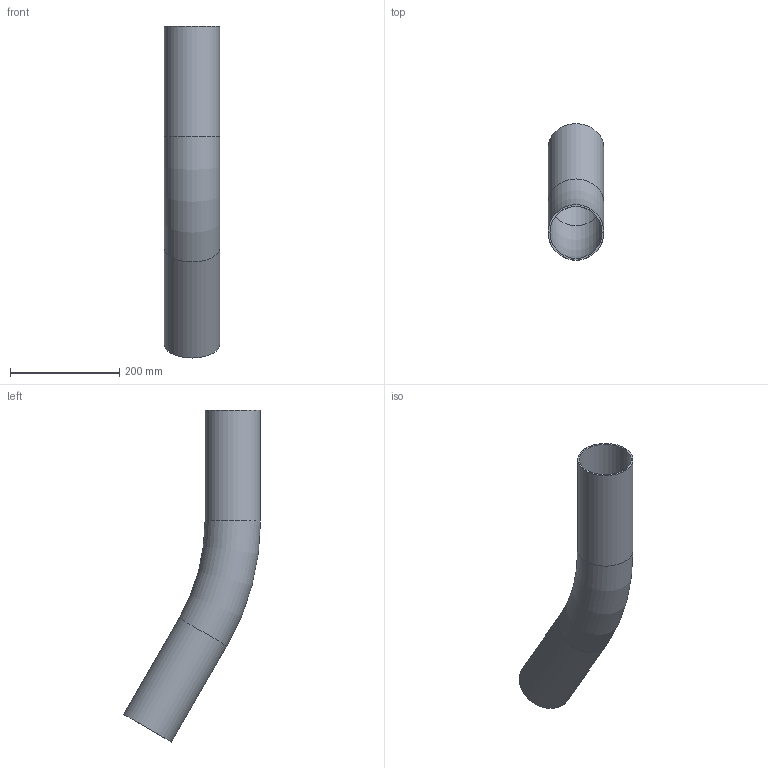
import cadquery as cq
import math

outer_diameter = 101.6
inner_diameter = 95.5

leg_length = 2 * outer_diameter
bend_radius = 4 * outer_diameter
bend_angle = 30.0


def centreline():
    """Path in the YZ plane, running down from the top end of the vertical leg."""
    angle = math.radians(bend_angle)

    def bend_point(turn):
        """Point (Y, Z) on the bend after turning by the given angle."""
        return bend_radius * (1 - math.cos(turn)), -bend_radius * math.sin(turn)

    bend_end_y, bend_end_z = bend_point(angle)
    lower_end = (
        bend_end_y + leg_length * math.sin(angle),
        bend_end_z - leg_length * math.cos(angle),
    )
    return (
        cq.Workplane("YZ")
        .moveTo(0, leg_length)
        .lineTo(0, 0)
        .threePointArc(bend_point(angle / 2), (bend_end_y, bend_end_z))
        .lineTo(*lower_end)
    )


def bent_tube():
    """Ring section swept along the centreline."""
    section = (
        cq.Workplane("XY", origin=(0, 0, leg_length))
        .circle(outer_diameter / 2)
        .circle(inner_diameter / 2)
    )
    return section.sweep(centreline())


result = bent_tube()